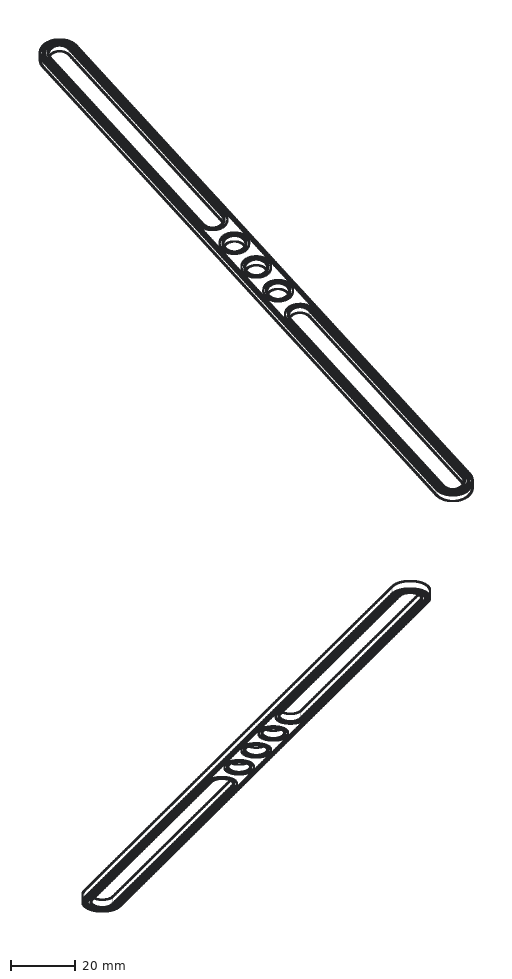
import cadquery as cq

length = 237.5
pitch_count = 19
pitch = length / pitch_count
width = pitch
thickness = pitch / 4

opening_diameter = 7.0
collar_diameter = 9.3
border_width = 1.0
recess_depth = 0.2
edge_chamfer = 0.3

hole_centers = (-pitch, 0, pitch)
slot_inner_end = 2 * pitch
slot_outer_end = (length - width) / 2
slot_span = slot_outer_end - slot_inner_end
slot_middle = (slot_inner_end + slot_outer_end) / 2

openings = [(x, 0) for x in hole_centers]
openings += [(-slot_middle, slot_span), (slot_middle, slot_span)]


def rounded_prism(x, span, diameter, bottom, height):
    """Cylinder, or round-ended prism when span is not zero."""
    plane = cq.Workplane("XY", origin=(x, 0, bottom))
    if span:
        outline = plane.slot2D(span + diameter, diameter)
    else:
        outline = plane.circle(diameter / 2)
    return outline.extrude(height)


def beam_body():
    """Solid round-ended bar with chamfered outer edges."""
    bar = rounded_prism(0, length - width, width, -thickness / 2, thickness)
    return bar.faces("|Z").edges().chamfer(edge_chamfer)


def flared_opening(x, span):
    """Cutter for a through opening that widens at both faces."""
    bore = rounded_prism(x, span, opening_diameter, -thickness / 2, thickness)
    mouth_diameter = opening_diameter + 4 * edge_chamfer
    mouth_bottom = thickness / 2 - edge_chamfer
    mouth_height = 3 * edge_chamfer
    mouth = rounded_prism(x, span, mouth_diameter, mouth_bottom, mouth_height)
    mouth = mouth.faces("<Z").edges().chamfer(2 * edge_chamfer)
    return bore.union(mouth).union(mouth.mirror("XY"))


def web_recess():
    """Cutter for the top recess between the border and the collars."""
    floor = thickness / 2 - recess_depth
    inner_width = width - 2 * border_width
    recess = rounded_prism(0, length - width, inner_width, floor, recess_depth)
    for x, span in openings:
        recess = recess.cut(rounded_prism(x, span, collar_diameter, floor, recess_depth))
    return recess


result = beam_body()

top_recess = web_recess()
result = result.cut(top_recess).cut(top_recess.mirror("XY"))

for x, span in openings:
    result = result.cut(flared_opening(x, span))